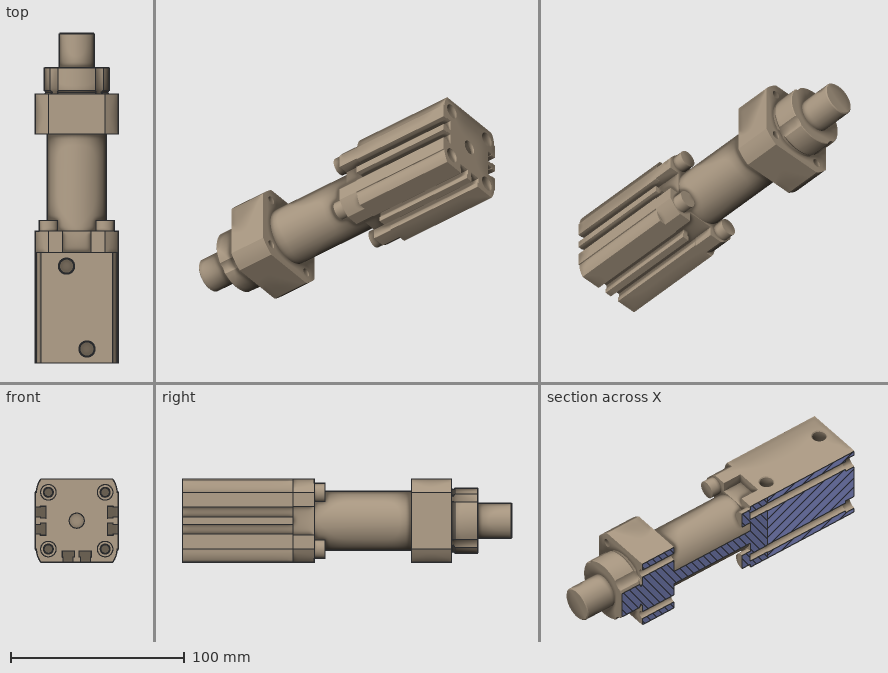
import cadquery as cq
import math

TOTAL_LENGTH = 190.0
WIDTH = 48.0
HALF = WIDTH / 2
FLAT_HALF = 16.3
BOLT_OFFSET = 16.3
BOLT_CENTRES = [(sx * BOLT_OFFSET, sz * BOLT_OFFSET) for sx in (-1, 1) for sz in (-1, 1)]

BLOCK_LENGTH = 63.8
BLOCK_CORNER_RADIUS = 12.5
BLOCK_TOP_HALF = 20.7
CORNER_STEP = 0.8
SLOT_OFFSET = 5.0
SLOT_MOUTH_WIDTH = 5.7
SLOT_INNER_WIDTH = 7.0
SLOT_MOUTH_DEPTH = 3.0
SLOT_DEPTH = 6.5
COUNTERBORE_DIAMETER = 9.0
COUNTERBORE_DEPTH = 6.5
BOLT_HOLE_DIAMETER = 5.7
CENTRE_RECESS_DIAMETER = 8.7
CENTRE_RECESS_DEPTH = 2.3
PORT_DIAMETER = 8.2
PORT_DEPTH = 9.5
PORT_BEVEL = 0.5
PORT_OFFSET = 5.9
PORT_CENTRES = [(-PORT_OFFSET, 55.9), (PORT_OFFSET, 8.2)]

FOOT_THICKNESS = 12.2
FOOT_NOTCH_WIDTH = 16.5
FOOT_NOTCH_DEPTH = SLOT_DEPTH
HEAD_DIAMETER = 10.6
HEAD_HEIGHT = 6.3
TAPPED_DIAMETER = 5.0
TUBE_DIAMETER = 34.2
FLANGE_START = 131.9
FLANGE_END = 155.0
FLANGE_HOLE_DIAMETER = 5.1
NOSE_END = 170.2
NOSE_RADIUS = 18.8
NOSE_BEVEL = 0.4
GROOVE_START = 157.1
GROOVE_BOTTOM = 156.0
GROOVE_RADIUS = 17.9
GROOVE_FOOT_RADIUS = 18.5
SCALLOP_RADIUS = 5.7

ROD_DIAMETER = 20.3
ROD_BEVEL = 0.5

FOOT_END = BLOCK_LENGTH + FOOT_THICKNESS


def section(y):
    """Workplane across the axis at y: local x is X, local y is Z, negative extrusions run toward +Y."""
    return cq.Workplane(cq.Plane(origin=(0, y, 0), xDir=(1, 0, 0), normal=(0, -1, 0)))


def rods_along_y(centres, diameter, start, end):
    """Round bars parallel to Y at the given X, Z centres."""
    return section(start).pushPoints(centres).circle(diameter / 2).extrude(start - end)


def block_profile():
    """Square bar with a slightly sunken arc along each corner."""
    arc_start_x = HALF - CORNER_STEP
    arc_end_z = HALF - CORNER_STEP
    arc_centre_x = arc_start_x - BLOCK_CORNER_RADIUS
    end_angle = math.asin((arc_end_z - FLAT_HALF) / BLOCK_CORNER_RADIUS)

    def arc_point(angle):
        return (arc_centre_x + BLOCK_CORNER_RADIUS * math.cos(angle),
                FLAT_HALF + BLOCK_CORNER_RADIUS * math.sin(angle))

    quarter = (
        section(0)
        .lineTo(HALF, 0)
        .lineTo(HALF, FLAT_HALF)
        .lineTo(arc_start_x, FLAT_HALF)
        .threePointArc(arc_point(end_angle / 2), arc_point(end_angle))
        .lineTo(BLOCK_TOP_HALF, HALF)
        .lineTo(0, HALF)
        .close()
        .extrude(-BLOCK_LENGTH)
    )
    half = quarter.union(quarter.mirror("YZ"))
    return half.union(half.mirror("XY")).clean()


def t_slot(centre):
    """T-slot along the full block, opening through the bottom face."""
    floor_z = SLOT_DEPTH - HALF
    shoulder_z = SLOT_MOUTH_DEPTH - HALF
    mouth = section(0).center(centre, -HALF).rect(SLOT_MOUTH_WIDTH, 2 * SLOT_DEPTH).extrude(-BLOCK_LENGTH)
    inner = (
        section(0)
        .center(centre, (floor_z + shoulder_z) / 2)
        .rect(SLOT_INNER_WIDTH, floor_z - shoulder_z)
        .extrude(-BLOCK_LENGTH)
    )
    return mouth.union(inner)


def make_block():
    """Cylinder block with pairs of T-slots on three sides and two ports in the top."""
    block = block_profile()
    for turn in (-90, 0, 90):
        for side in (-1, 1):
            slot = t_slot(side * SLOT_OFFSET).rotate((0, 0, 0), (0, 1, 0), turn)
            block = block.cut(slot)
    block = block.cut(rods_along_y(BOLT_CENTRES, BOLT_HOLE_DIAMETER, 0, BLOCK_LENGTH))
    block = block.cut(rods_along_y(BOLT_CENTRES, COUNTERBORE_DIAMETER, 0, COUNTERBORE_DEPTH))
    block = block.cut(rods_along_y([(0, 0)], CENTRE_RECESS_DIAMETER, 0, CENTRE_RECESS_DEPTH))
    top = cq.Workplane("XY", origin=(0, 0, HALF)).pushPoints(PORT_CENTRES)
    ports = top.circle(PORT_DIAMETER / 2).extrude(-PORT_DEPTH)
    countersinks = top.circle(PORT_DIAMETER / 2 + PORT_BEVEL).extrude(-PORT_BEVEL, taper=45)
    return block.cut(ports).cut(countersinks)


def square_plate(start, end):
    """Square plate whose corners are rounded about the main axis."""
    plate = section(start).rect(WIDTH, WIDTH).extrude(start - end)
    corner_diameter = 2 * math.hypot(HALF, FLAT_HALF)
    return plate.intersect(rods_along_y([(0, 0)], corner_diameter, start, end))


def make_foot():
    """Mounting foot: notched plate with a bolt head over each corner hole."""
    foot = square_plate(BLOCK_LENGTH, FOOT_END)
    notch_centres = [(HALF, 0), (-HALF, 0), (0, HALF), (0, -HALF)]
    for x, z in notch_centres:
        along_x = FOOT_NOTCH_WIDTH if x == 0 else 2 * FOOT_NOTCH_DEPTH
        along_z = FOOT_NOTCH_WIDTH if z == 0 else 2 * FOOT_NOTCH_DEPTH
        notch = section(BLOCK_LENGTH).center(x, z).rect(along_x, along_z).extrude(-FOOT_THICKNESS)
        foot = foot.cut(notch)
    foot = foot.union(rods_along_y(BOLT_CENTRES, HEAD_DIAMETER, FOOT_END, FOOT_END + HEAD_HEIGHT))
    return foot.cut(rods_along_y(BOLT_CENTRES, TAPPED_DIAMETER, BLOCK_LENGTH, FOOT_END))


def make_nose():
    """Round nose with a V-groove at its root and a scallop in line with each corner hole."""
    nose = (
        cq.Workplane("XY")
        .polyline([
            (0, FLANGE_END),
            (GROOVE_FOOT_RADIUS, FLANGE_END),
            (GROOVE_RADIUS, GROOVE_BOTTOM),
            (NOSE_RADIUS, GROOVE_START),
            (NOSE_RADIUS, NOSE_END - NOSE_BEVEL),
            (NOSE_RADIUS - NOSE_BEVEL, NOSE_END),
            (0, NOSE_END),
        ])
        .close()
        .revolve(360, (0, 0, 0), (0, 1, 0))
    )
    return nose.cut(rods_along_y(BOLT_CENTRES, 2 * SCALLOP_RADIUS, FLANGE_END, NOSE_END))


def make_housing():
    """Foot, tube, flange and nose in one piece, bored through for the rod."""
    flange = square_plate(FLANGE_START, FLANGE_END)
    flange = flange.cut(rods_along_y(BOLT_CENTRES, FLANGE_HOLE_DIAMETER, FLANGE_START, FLANGE_END))
    tube = rods_along_y([(0, 0)], TUBE_DIAMETER, FOOT_END, FLANGE_START)
    housing = make_foot().union(tube).union(flange).union(make_nose())
    return housing.cut(rods_along_y([(0, 0)], ROD_DIAMETER, BLOCK_LENGTH, NOSE_END))


def make_rod():
    """Rod standing on the block and running through the housing bore."""
    rod = rods_along_y([(0, 0)], ROD_DIAMETER, BLOCK_LENGTH, TOTAL_LENGTH)
    return rod.faces(">Y").chamfer(ROD_BEVEL)


block = make_block()
housing = make_housing()
rod = make_rod()

result = cq.Compound.makeCompound([block.val(), housing.val(), rod.val()])